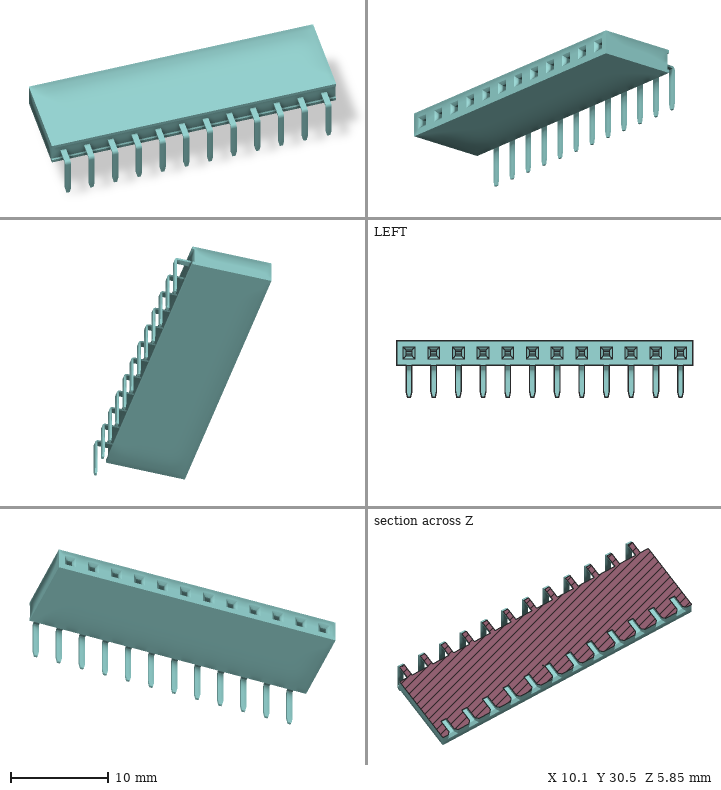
import cadquery as cq

pin_count = 12
housing_length = 30.48
pitch = housing_length / pin_count
housing_depth = 8.5
housing_height = pitch
rail_height = 0.37
recess_depth = 0.2

pin_width = 0.6
pin_thickness = 0.25
pin_reach = 10.12
overall_height = 5.85
bend_radius = 0.37
blade_start = 1.83
tip_width = 0.35
tip_length = 0.6

mouth_depth = 0.3
socket_size = pin_width
mouth_size = socket_size + 2 * mouth_depth
socket_depth = 6.1

middle_z = housing_height / 2
pin_top = middle_z + pin_thickness / 2
pin_bottom = middle_z - pin_thickness / 2
leg_inside = pin_reach - pin_thickness
tip_z = housing_height - overall_height
taper_z = tip_z + tip_length


def make_housing():
    """Plain block with a channel along its rear face, leaving a rail above and below."""
    block = cq.Workplane("XY").box(
        housing_depth, housing_length, housing_height, centered=(False, True, False)
    )
    channel_height = housing_height - 2 * rail_height
    channel = (
        cq.Workplane("XY")
        .box(recess_depth, housing_length, channel_height, centered=(False, True, False))
        .translate((housing_depth - recess_depth, 0, rail_height))
    )
    return block.cut(channel)


def make_socket(y):
    """Void of one square socket with its tapered lead-in mouth."""
    mouth = (
        cq.Workplane("YZ")
        .center(y, middle_z)
        .rect(mouth_size, mouth_size)
        .workplane(offset=mouth_depth)
        .rect(socket_size, socket_size)
        .loft(ruled=True)
    )
    bore = (
        cq.Workplane("YZ")
        .center(y, middle_z)
        .rect(socket_size, socket_size)
        .extrude(socket_depth)
    )
    return mouth.union(bore)


def make_pin(y):
    """Flat pin that runs back from the socket and turns down into a tapered leg."""
    bent_strip = (
        cq.Workplane("XZ", origin=(0, y, 0))
        .moveTo(blade_start, pin_bottom)
        .lineTo(leg_inside, pin_bottom)
        .lineTo(leg_inside, tip_z)
        .lineTo(pin_reach, tip_z)
        .lineTo(pin_reach, pin_top - bend_radius)
        .radiusArc((pin_reach - bend_radius, pin_top), -bend_radius)
        .lineTo(blade_start, pin_top)
        .close()
        .extrude(pin_width / 2, both=True)
    )
    tapered_outline = (
        cq.Workplane("YZ")
        .moveTo(y - pin_width / 2, pin_top)
        .lineTo(y - pin_width / 2, taper_z)
        .lineTo(y - tip_width / 2, tip_z)
        .lineTo(y + tip_width / 2, tip_z)
        .lineTo(y + pin_width / 2, taper_z)
        .lineTo(y + pin_width / 2, pin_top)
        .close()
        .extrude(pin_reach)
    )
    return bent_strip.intersect(tapered_outline)


result = make_housing()
for index in range(pin_count):
    pin_y = (index - (pin_count - 1) / 2) * pitch
    result = result.cut(make_socket(pin_y)).union(make_pin(pin_y))